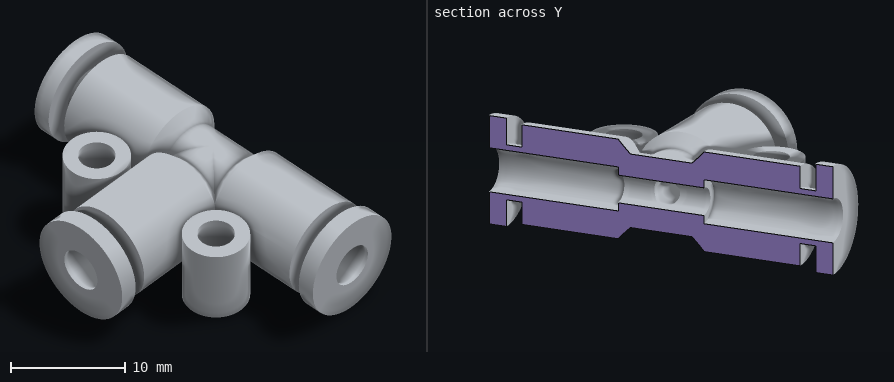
import cadquery as cq


PORT_REACH = 16.8
COLLAR_THICKNESS = 1.7
NECK_LENGTH = 1.5
BODY_LENGTH = 9.4
SHOULDER_LENGTH = 1.2

COLLAR_START = PORT_REACH - COLLAR_THICKNESS
BODY_END = COLLAR_START - NECK_LENGTH
BODY_START = BODY_END - BODY_LENGTH
CORE_END = BODY_START - SHOULDER_LENGTH

COLLAR_DIAMETER = 10.0
NECK_DIAMETER = 5.1
BODY_DIAMETER = 9.2
CORE_DIAMETER = BODY_DIAMETER - 2 * SHOULDER_LENGTH

SOCKET_DIAMETER = 4.0
SOCKET_FLOOR = BODY_START
PASSAGE_DIAMETER = 2.5

EYELET_DIAMETER = 6.0
EYELET_HOLE_DIAMETER = 3.3
EYELET_OFFSET = 7.2
EYELET_TOP = 2.5
EYELET_BOTTOM = -4.8

RIGHT = cq.Vector(1, 0, 0)
LEFT = cq.Vector(-1, 0, 0)
BRANCH = cq.Vector(0, -1, 0)
PORT_DIRECTIONS = (RIGHT, LEFT, BRANCH)


def rod(direction, start, end, diameter):
    """Cylinder along an axis between two signed distances from the centre."""
    cylinder = cq.Solid.makeCylinder(diameter / 2, end - start, direction * start, direction)
    return cq.Workplane(obj=cylinder)


def tee_pipe(diameter, reach):
    """One cylinder through the whole run joined by one along the branch."""
    run = rod(RIGHT, -reach, reach, diameter)
    branch = rod(BRANCH, 0, reach, diameter)
    return run.union(branch)


def port_exterior(direction):
    """Shoulder, body, neck and collar of one port."""
    shoulder = cq.Solid.makeCone(
        CORE_DIAMETER / 2, BODY_DIAMETER / 2, SHOULDER_LENGTH, direction * CORE_END, direction
    )
    body = rod(direction, BODY_START, BODY_END, BODY_DIAMETER)
    neck = rod(direction, BODY_END, COLLAR_START, NECK_DIAMETER)
    collar = rod(direction, COLLAR_START, PORT_REACH, COLLAR_DIAMETER)
    return cq.Workplane(obj=shoulder).union(body).union(neck).union(collar)


def tube_socket(direction):
    """Wider bore that receives the tube at one port."""
    return rod(direction, SOCKET_FLOOR, PORT_REACH, SOCKET_DIAMETER)


def eyelet(side):
    """Vertical mounting tube beside the branch; side is +1 or -1 along X."""
    return (
        cq.Workplane("XY", origin=(side * EYELET_OFFSET, -EYELET_OFFSET, EYELET_BOTTOM))
        .circle(EYELET_DIAMETER / 2)
        .circle(EYELET_HOLE_DIAMETER / 2)
        .extrude(EYELET_TOP - EYELET_BOTTOM)
    )


tee = tee_pipe(CORE_DIAMETER, CORE_END)

for port_direction in PORT_DIRECTIONS:
    tee = tee.union(port_exterior(port_direction))

for eyelet_side in (1, -1):
    tee = tee.union(eyelet(eyelet_side))

tee = tee.cut(tee_pipe(PASSAGE_DIAMETER, SOCKET_FLOOR))
for port_direction in PORT_DIRECTIONS:
    tee = tee.cut(tube_socket(port_direction))

result = tee